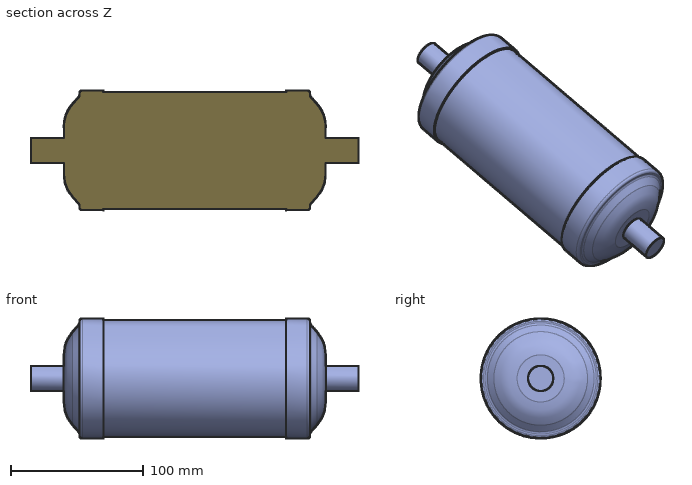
import cadquery as cq
import math

length = 248.0
pipe_radius = 9.55
pipe_length = 24.8
body_radius = 44.5

band_radius = 45.5
band_length = 18.0
rim_rounding = 2.2
flat_radius = 17.9
knuckle_radius = 26.3
cone_rise = 5.0
root_radius = 2.5
cone_angle = math.radians(42)


def arc_point(center, radius, angle):
    """Point on an arc, with the angle measured from the -X direction."""
    x, r = center
    return (x - radius * math.cos(angle), r + radius * math.sin(angle))


dome_x = -length / 2 + pipe_length
knuckle_center = (dome_x + knuckle_radius, flat_radius)
knuckle_middle = arc_point(knuckle_center, knuckle_radius, cone_angle / 2)
knuckle_end = arc_point(knuckle_center, knuckle_radius, cone_angle)

cone_end = (knuckle_end[0] + cone_rise * math.tan(cone_angle), knuckle_end[1] + cone_rise)
root_center = arc_point(cone_end, root_radius, cone_angle)
root_middle = arc_point(root_center, -root_radius, cone_angle / 2)
root_end = arc_point(root_center, -root_radius, 0)

rim_x = root_end[0]
band_end_x = rim_x + band_length
rim_center = (rim_x + rim_rounding, band_radius - rim_rounding)
rim_middle = arc_point(rim_center, rim_rounding, math.pi / 4)

half_profile = (
    cq.Workplane("XY")
    .moveTo(-length / 2, 0)
    .lineTo(-length / 2, pipe_radius)
    .lineTo(dome_x, pipe_radius)
    .lineTo(dome_x, flat_radius)
    .threePointArc(knuckle_middle, knuckle_end)
    .lineTo(*cone_end)
    .threePointArc(root_middle, root_end)
    .lineTo(rim_x, rim_center[1])
    .threePointArc(rim_middle, (rim_center[0], band_radius))
    .lineTo(band_end_x, band_radius)
    .lineTo(band_end_x, body_radius)
    .lineTo(0, body_radius)
    .lineTo(0, 0)
    .close()
)
left_half = half_profile.revolve(360, (0, 0, 0), (1, 0, 0))

result = left_half.union(left_half.mirror("YZ")).clean()